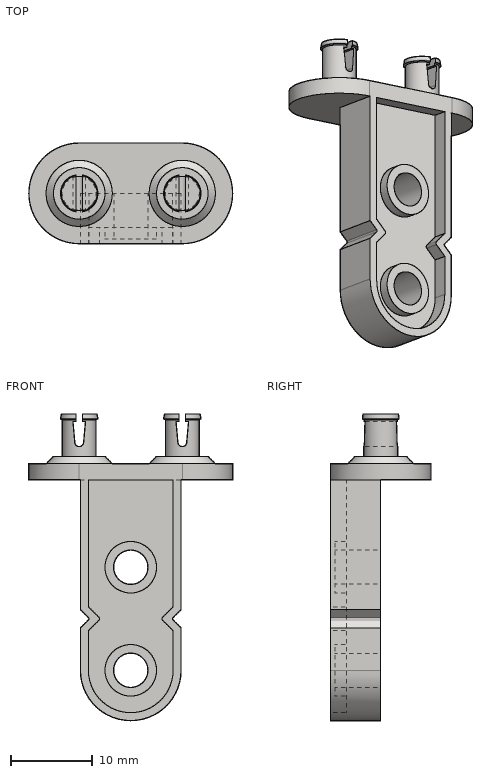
import cadquery as cq

height = 37.75
width = 12.4
pitch = 12.68

plate_thickness = 2.0
wall = 1.0
pocket_depth = 2.0
hole_diameter = 4.2
boss_diameter = 6.35
boss_setback = 0.6

notch_depth = 1.15
notch_tip_radius = 0.2
inner_notch_depth = 1.47
inner_notch_tip_radius = 0.25

shank_diameter = 4.2
head_top_diameter = 4.4
head_diameter = 4.6
head_taper_height = 0.53
head_rim_height = 0.08
head_undercut_height = 0.1
collar_height = 0.9
collar_top_diameter = 6.35
pin_height = 5.2

head_slot_width = 0.75
head_slot_depth = 0.95
slot_top_width = 1.5
slot_bottom_width = 1.05
slot_depth = 4.0

radius = width / 2
plate_top = height - pin_height - collar_height
plate_bottom = plate_top - plate_thickness
lower_hole_z = radius
upper_hole_z = lower_hole_z + pitch
notch_z = (lower_hole_z + upper_hole_z) / 2
pocket_floor_y = pocket_depth - radius


def make_plate():
    """Flat obround plate across the top of the leg."""
    return (
        cq.Workplane("XY", origin=(0, 0, plate_bottom))
        .slot2D(pitch + width, width)
        .extrude(plate_thickness)
    )


def leg_body(half_width, depth, vee_depth, tip_radius):
    """Round-ended bar with a vee notch in each side, going back from the front face."""
    bar = (
        cq.Workplane("XZ", origin=(0, depth - radius, 0))
        .moveTo(-half_width, plate_bottom)
        .lineTo(-half_width, lower_hole_z)
        .threePointArc((0, lower_hole_z - half_width), (half_width, lower_hole_z))
        .lineTo(half_width, plate_bottom)
        .close()
        .extrude(depth)
    )
    for side in (-1, 1):
        edge_x = side * half_width
        tip_x = side * (half_width - vee_depth)
        vee = (
            cq.Workplane("XZ", origin=(0, depth - radius, 0))
            .moveTo(edge_x, notch_z + vee_depth)
            .lineTo(tip_x, notch_z)
            .lineTo(edge_x, notch_z - vee_depth)
            .close()
            .extrude(depth)
            .edges(cq.selectors.NearestToPointSelector((tip_x, depth / 2 - radius, notch_z)))
            .fillet(tip_radius)
        )
        bar = bar.cut(vee)
    return bar


def leg_cylinder(diameter, z, front_y, back_y):
    """Cylinder along Y from front_y back to back_y."""
    return (
        cq.Workplane("XZ", origin=(0, back_y, z))
        .circle(diameter / 2)
        .extrude(back_y - front_y)
    )


def make_leg():
    """Half-depth leg with a front pocket and two bored bosses."""
    leg = leg_body(radius, radius, notch_depth, notch_tip_radius)
    pocket = leg_body(radius - wall, pocket_depth, inner_notch_depth, inner_notch_tip_radius)
    leg = leg.cut(pocket)
    for z in (lower_hole_z, upper_hole_z):
        leg = leg.union(leg_cylinder(boss_diameter, z, boss_setback - radius, pocket_floor_y))
        leg = leg.cut(leg_cylinder(hole_diameter, z, -radius, 0))
    return leg


def make_pin_slot():
    """Narrow slot in the head, opening into a tapered slot with a round bottom."""
    slot_top = height - head_slot_depth
    slot_bottom = height - slot_depth
    round_radius = slot_bottom_width / 2
    head_slot = cq.Workplane("XY").box(head_slot_width, width, head_slot_depth, centered=(True, True, False))
    tapered_slot = (
        cq.Workplane("XZ", origin=(0, radius, 0))
        .moveTo(-slot_top_width / 2, slot_top)
        .lineTo(-round_radius, slot_bottom + round_radius)
        .threePointArc((0, slot_bottom), (round_radius, slot_bottom + round_radius))
        .lineTo(slot_top_width / 2, slot_top)
        .close()
        .extrude(width)
    )
    return tapered_slot.union(head_slot.translate((0, 0, slot_top)))


def make_pin():
    """Split snap pin standing on a conical collar, centred on the Z axis."""
    collar_top = plate_top + collar_height
    rim_top = height - head_taper_height
    rim_bottom = rim_top - head_rim_height
    profile = [
        (0, plate_top),
        (collar_top_diameter / 2 + collar_height, plate_top),
        (collar_top_diameter / 2, collar_top),
        (shank_diameter / 2, collar_top),
        (shank_diameter / 2, rim_bottom - head_undercut_height),
        (head_diameter / 2, rim_bottom),
        (head_diameter / 2, rim_top),
        (head_top_diameter / 2, height),
        (0, height),
    ]
    pin = cq.Workplane("XZ").polyline(profile).close().revolve(360, (0, 0, 0), (0, 1, 0))
    return pin.cut(make_pin_slot())


result = make_plate().union(make_leg())
for pin_x in (-pitch / 2, pitch / 2):
    result = result.union(make_pin().translate((pin_x, 0, 0)))